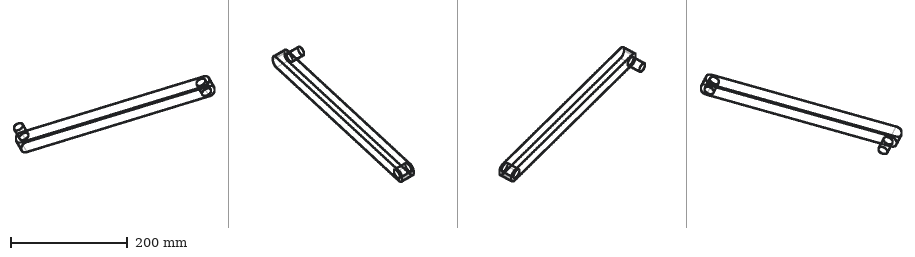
import cadquery as cq

bar_length = 358.5
bar_width = 25.0
bar_height = 25.0
corner_radius = 10.0

pin_diameter = 17.0
overall_width = 50.0
pin_length = overall_width - bar_width
end_offset = 15.0
axis_y = bar_length / 2 - end_offset


def make_bar():
    """Square bar with its four end edges rounded."""
    bar = cq.Workplane("XY").box(bar_width, bar_length, bar_height)
    return bar.edges("|X").fillet(corner_radius)


def cylinder_along_x(start_x, length, center_y):
    """Pin-sized cylinder running in +X from start_x."""
    section = cq.Workplane("YZ", origin=(start_x, center_y, 0)).circle(pin_diameter / 2)
    return section.extrude(length)


side_x = -bar_width / 2
pin = cylinder_along_x(side_x - pin_length, pin_length, -axis_y)
through_hole = cylinder_along_x(side_x, bar_width, axis_y)

result = make_bar().union(pin).cut(through_hole)